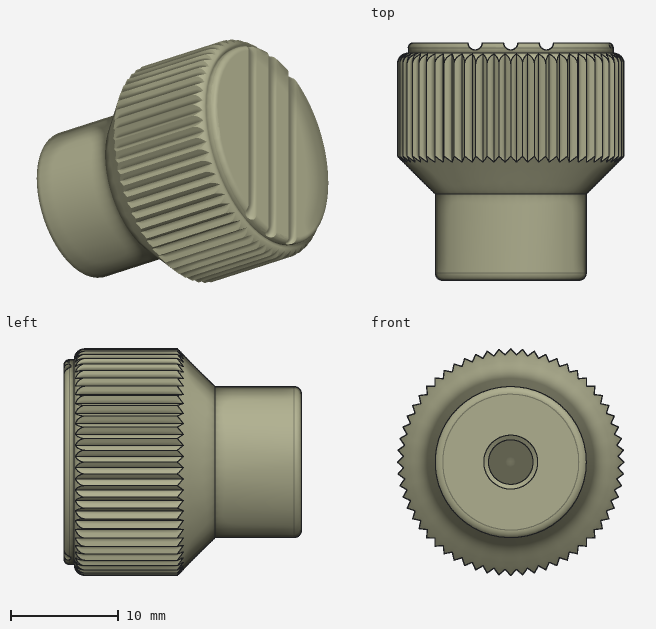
import cadquery as cq
import math

LENGTH = 22.0
HEAD_RADIUS = 10.5
STEM_RADIUS = 7.0
STEM_LENGTH = 8.0
STEM_FILLET = 0.7
CAP_RADIUS = 9.5
CAP_HEIGHT = 0.95
CAP_FILLET = 0.5

BORE_RADIUS = 4.13 / 2
BORE_DEPTH = 12.0
BORE_MOUTH_RADIUS = 2.5

TOOTH_COUNT = 60
TOOTH_DEPTH = 0.55

GROOVE_COUNT = 3
GROOVE_SPACING = 3.3
GROOVE_RADIUS = 0.65

ROOT_RADIUS = HEAD_RADIUS - TOOTH_DEPTH
SHOULDER_Y = LENGTH - CAP_HEIGHT
HEAD_FILLET = HEAD_RADIUS - CAP_RADIUS
CONE_END_Y = STEM_LENGTH + HEAD_RADIUS - STEM_RADIUS


def point_on_circle(center_x, center_y, radius, angle):
    """Point on a circle at an angle in degrees."""
    theta = math.radians(angle)
    return (center_x + radius * math.cos(theta), center_y + radius * math.sin(theta))


def make_blank():
    """Stem, cone and head as one revolved body, before knurling."""
    stem_fillet_mid = point_on_circle(STEM_RADIUS - STEM_FILLET, STEM_FILLET, STEM_FILLET, -45)
    head_fillet_mid = point_on_circle(CAP_RADIUS, SHOULDER_Y - HEAD_FILLET, HEAD_FILLET, 45)
    cap_fillet_mid = point_on_circle(CAP_RADIUS - CAP_FILLET, LENGTH - CAP_FILLET, CAP_FILLET, 45)
    return (
        cq.Workplane("XY")
        .lineTo(STEM_RADIUS - STEM_FILLET, 0)
        .threePointArc(stem_fillet_mid, (STEM_RADIUS, STEM_FILLET))
        .lineTo(STEM_RADIUS, STEM_LENGTH)
        .lineTo(HEAD_RADIUS, CONE_END_Y)
        .lineTo(HEAD_RADIUS, SHOULDER_Y - HEAD_FILLET)
        .threePointArc(head_fillet_mid, (CAP_RADIUS, SHOULDER_Y))
        .lineTo(CAP_RADIUS, LENGTH - CAP_FILLET)
        .threePointArc(cap_fillet_mid, (CAP_RADIUS - CAP_FILLET, LENGTH))
        .lineTo(0, LENGTH)
        .close()
        .revolve(360, (0, 0, 0), (0, 1, 0))
    )


def make_tooth_prism():
    """Full-length star-shaped prism that trims the blank to the knurl."""
    half_pitch = math.pi / TOOTH_COUNT
    points = []
    for i in range(2 * TOOTH_COUNT):
        radius = HEAD_RADIUS if i % 2 == 0 else ROOT_RADIUS
        angle = i * half_pitch
        points.append((radius * math.cos(angle), radius * math.sin(angle)))
    return cq.Workplane("XZ").polyline(points).close().extrude(-LENGTH)


def make_bore():
    """Blind bore with a 45 degree countersunk mouth."""
    return (
        cq.Workplane("XY")
        .lineTo(BORE_MOUTH_RADIUS, 0)
        .lineTo(BORE_RADIUS, BORE_MOUTH_RADIUS - BORE_RADIUS)
        .lineTo(BORE_RADIUS, BORE_DEPTH)
        .lineTo(0, BORE_DEPTH)
        .close()
        .revolve(360, (0, 0, 0), (0, 1, 0))
    )


def make_grooves():
    """Round-bottomed grooves centred on the cap face."""
    return (
        cq.Workplane("XY")
        .center(0, LENGTH)
        .rarray(GROOVE_SPACING, 1, GROOVE_COUNT, 1)
        .circle(GROOVE_RADIUS)
        .extrude(HEAD_RADIUS, both=True)
    )


knurled_body = make_blank().intersect(make_tooth_prism())
result = knurled_body.cut(make_bore()).cut(make_grooves())